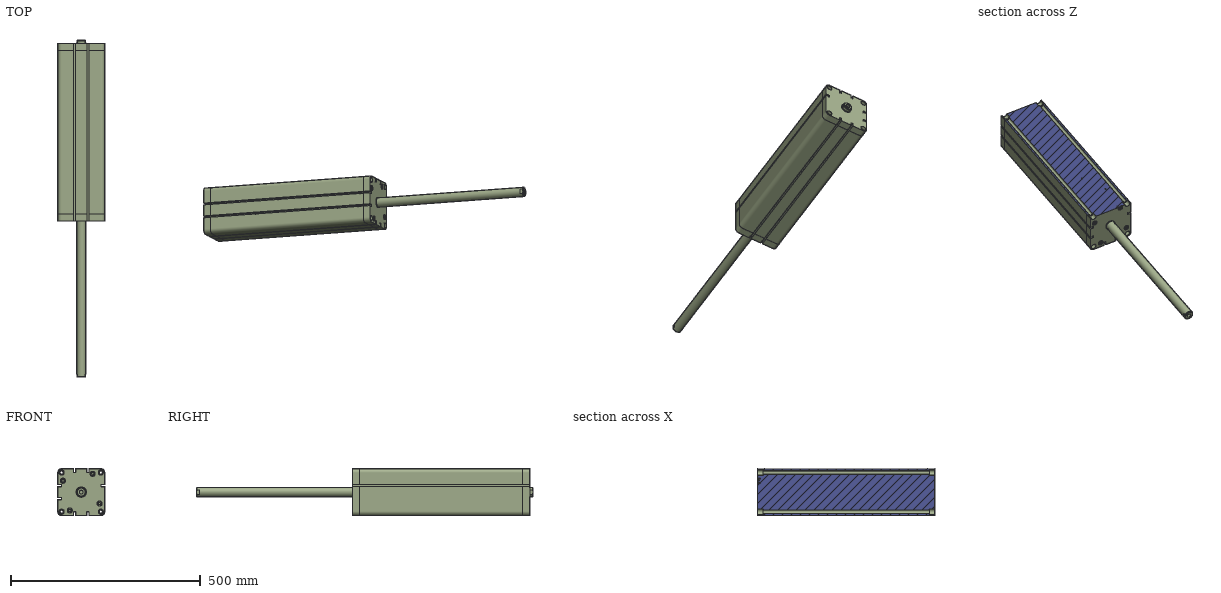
import cadquery as cq


BODY_WIDTH = 124.0
BODY_LENGTH = 467.5
CAP_LENGTH = 19.0
TUBE_INSET = 0.1
CORNER_RADIUS = 11.0
SLOT_WIDTH = 5.0
SLOT_DEPTH = 10.0
SLOT_OFFSET = 17.25

TOTAL_LENGTH = 886.5
ROD_DIAMETER = 25.0
REAR_STICKOUT = 8.5
FRONT_STICKOUT = TOTAL_LENGTH - BODY_LENGTH - REAR_STICKOUT
ROD_CHAMFER = 2.0
FLAT_WIDTH = 22.0
FLAT_LENGTH = 8.0
ROD_BORE_DIAMETER = 10.11
ROD_BORE_DEPTH = 25.0
SEAL_DIAMETER = 27.0
SEAL_DEPTH = 2.0

MOUNT_OFFSET = 51.5
MOUNT_DIAMETER = 8.38
MOUNT_RECESS_DIAMETER = 13.5
MOUNT_RECESS_DEPTH = 15.0

SCREW_X = 30.0
SCREW_Z = 48.2
SCREW_RECESS_DIAMETER = 13.5
SCREW_RECESS_DEPTH = 8.0
SCREW_HEAD_DIAMETER = 12.5
SCREW_HEAD_HEIGHT = 7.0
SOCKET_ACROSS_CORNERS = 7.0
SOCKET_DEPTH = 4.0

HALF_WIDTH = BODY_WIDTH / 2
ROD_FRONT = -FRONT_STICKOUT
ROD_REAR = BODY_LENGTH + REAR_STICKOUT


def plane_at(y):
    """Sketch plane at position y whose local axes are X and Z; negative extrusions run toward +Y."""
    return cq.Workplane(cq.Plane(origin=(0, y, 0), xDir=(1, 0, 0), normal=(0, -1, 0)))


def cylinder(diameter, y_start, y_end, centers=((0, 0),)):
    """Cylinders along Y at the given (x, z) centers."""
    return plane_at(y_start).pushPoints(centers).circle(diameter / 2).extrude(y_start - y_end)


def quarter_turns(x, z):
    """The point (x, z) and its copies turned by 90, 180 and 270 degrees about the rod."""
    return [(x, z), (-z, x), (-x, -z), (z, -x)]


def square_bar(width, corner_radius, y_start, y_end):
    """Square bar along Y with rounded long edges."""
    bar = plane_at(y_start).rect(width, width).extrude(y_start - y_end)
    return bar.edges("|Y").fillet(corner_radius)


def make_body():
    """Tube between two caps; the tube is set in slightly, leaving a fine step at each cap."""
    rear_cap_start = BODY_LENGTH - CAP_LENGTH
    tube_width = BODY_WIDTH - 2 * TUBE_INSET
    tube = square_bar(tube_width, CORNER_RADIUS - TUBE_INSET, CAP_LENGTH, rear_cap_start)
    front_cap = square_bar(BODY_WIDTH, CORNER_RADIUS, 0, CAP_LENGTH)
    rear_cap = square_bar(BODY_WIDTH, CORNER_RADIUS, rear_cap_start, BODY_LENGTH)
    return tube.union(front_cap).union(rear_cap)


def cut_slots(body):
    """Sensor grooves: two on each side, but only the upper one on +X."""
    slot_center = HALF_WIDTH - SLOT_DEPTH / 2
    upright = [(x, z) for x in (-SLOT_OFFSET, SLOT_OFFSET) for z in (-slot_center, slot_center)]
    level = [(-slot_center, SLOT_OFFSET), (-slot_center, -SLOT_OFFSET), (slot_center, SLOT_OFFSET)]
    body = body.cut(plane_at(0).pushPoints(upright).rect(SLOT_WIDTH, SLOT_DEPTH).extrude(-BODY_LENGTH))
    return body.cut(plane_at(0).pushPoints(level).rect(SLOT_DEPTH, SLOT_WIDTH).extrude(-BODY_LENGTH))


def cut_mount_holes(body):
    centers = quarter_turns(MOUNT_OFFSET, MOUNT_OFFSET)
    body = body.cut(cylinder(MOUNT_DIAMETER, 0, BODY_LENGTH, centers))
    body = body.cut(cylinder(MOUNT_RECESS_DIAMETER, 0, MOUNT_RECESS_DEPTH, centers))
    return body.cut(cylinder(MOUNT_RECESS_DIAMETER, BODY_LENGTH - MOUNT_RECESS_DEPTH, BODY_LENGTH, centers))


def add_screws(body):
    """Socket head screws in counterbores of the front face."""
    centers = quarter_turns(SCREW_X, SCREW_Z)
    head_top = SCREW_RECESS_DEPTH - SCREW_HEAD_HEIGHT
    heads = cylinder(SCREW_HEAD_DIAMETER, head_top, SCREW_RECESS_DEPTH, centers)
    sockets = plane_at(head_top).pushPoints(centers).polygon(6, SOCKET_ACROSS_CORNERS).extrude(-SOCKET_DEPTH)
    body = body.cut(cylinder(SCREW_RECESS_DIAMETER, 0, SCREW_RECESS_DEPTH, centers))
    return body.union(heads.cut(sockets))


def cut_seal_recess(body, y_start, y_end):
    return body.cut(cylinder(SEAL_DIAMETER, y_start, y_end))


def make_rod():
    rod = cylinder(ROD_DIAMETER, ROD_FRONT, ROD_REAR).faces("<Y or >Y").chamfer(ROD_CHAMFER)
    flat_center = FLAT_WIDTH / 2 + ROD_DIAMETER / 2
    for y_start in (ROD_FRONT, ROD_REAR - FLAT_LENGTH):
        waste = plane_at(y_start).pushPoints([(-flat_center, 0), (flat_center, 0)])
        rod = rod.cut(waste.rect(ROD_DIAMETER, ROD_DIAMETER).extrude(-FLAT_LENGTH))
    rod = rod.cut(cylinder(ROD_BORE_DIAMETER, ROD_FRONT, ROD_FRONT + ROD_BORE_DEPTH))
    return rod.cut(cylinder(ROD_BORE_DIAMETER, ROD_REAR - ROD_BORE_DEPTH, ROD_REAR))


body = add_screws(cut_mount_holes(cut_slots(make_body())))
body = cut_seal_recess(body, 0, SEAL_DEPTH)
body = cut_seal_recess(body, BODY_LENGTH - SEAL_DEPTH, BODY_LENGTH)
result = body.union(make_rod())